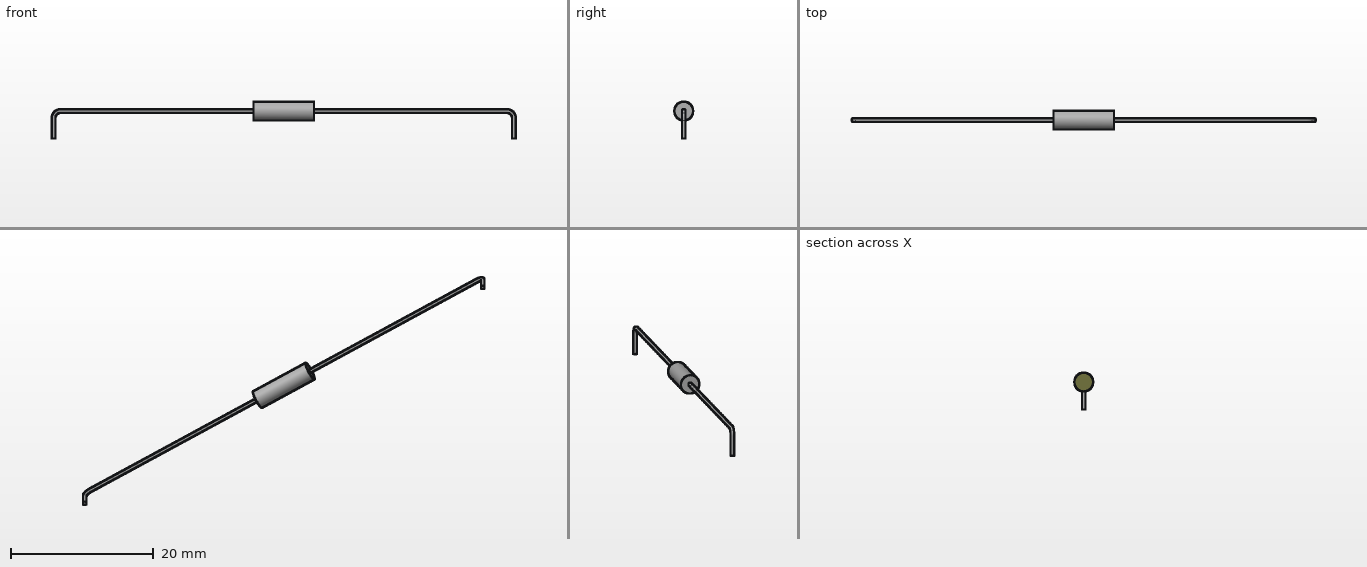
import cadquery as cq

span = 65.05
height = 5.2
body_diameter = 2.65
body_length = 8.5
lead_diameter = 0.55
bend_radius = 1.0

lead_radius = lead_diameter / 2
body_end = body_length / 2
leg_x = span / 2 - lead_radius
tip_z = body_diameter / 2 - height


def make_body():
    """Plain cylinder centred on the origin, along X."""
    return cq.Workplane("YZ", origin=(-body_end, 0, 0)).circle(body_diameter / 2).extrude(body_length)


def make_lead(side):
    """Round wire from one end face of the body, bent down; side is +1 or -1."""
    bend_start = leg_x - bend_radius
    path = (
        cq.Workplane("XZ")
        .moveTo(side * body_end, 0)
        .lineTo(side * bend_start, 0)
        .tangentArcPoint((side * leg_x, -bend_radius), relative=False)
        .lineTo(side * leg_x, tip_z)
    )
    profile = cq.Workplane("YZ", origin=(side * body_end, 0, 0)).circle(lead_radius)
    return profile.sweep(path)


body = make_body()
leads = [make_lead(side) for side in (-1, 1)]

result = cq.Compound.makeCompound([body.val(), *[lead.val() for lead in leads]])